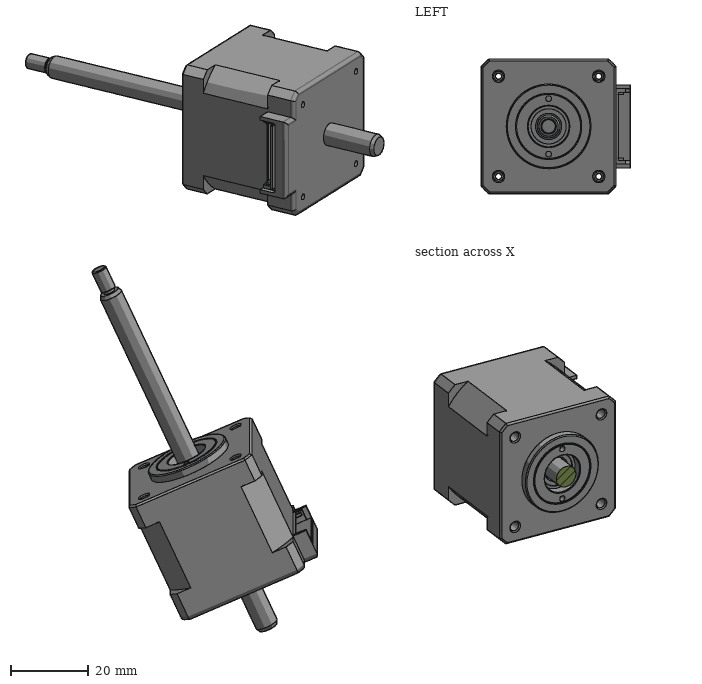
import cadquery as cq


BODY_SIDE = 35.0
FLANGE_LENGTH = 6.7
STATOR_LENGTH = 19.7
CAP_LENGTH = 8.0
END_CORNER_RADIUS = 23.38
STATOR_CORNER_RADIUS = 21.0
FLANGE_CHAMFER = 0.5
CAP_FILLET = 1.0
STATOR_START = FLANGE_LENGTH
CAP_START = STATOR_START + STATOR_LENGTH
BODY_END = CAP_START + CAP_LENGTH

HOLE_SPACING = 26.0
HOLE_RADIUS = 1.25
HOLE_MOUTH_RADIUS = 1.6
THROUGH_HOLE_RADIUS = 0.75

BOSS_RADIUS = 11.0
BOSS_HEIGHT = 2.1
BOSS_CHAMFER = 0.3
GROOVE_OUTER_RADIUS = 8.6
GROOVE_WIDTH = 0.3
GROOVE_DEPTH = 0.3
SPANNER_HOLE_RADIUS = 0.75
SPANNER_HOLE_OFFSET = 7.2
SPANNER_HOLE_DEPTH = 2.0

MOUTH_RADIUS = 5.3
MOUTH_CHAMFER = 0.2
MOUTH_DEPTH = 2.6
RECESS_RADIUS = 4.55
RECESS_DEPTH = 3.0
CLEARANCE_RADIUS = 3.4
CLEARANCE_DEPTH = 6.0

SHAFT_START = -57.5
SHAFT_LENGTH = 107.0
SHAFT_RADIUS = 3.0
SHAFT_CHAMFER_LENGTH = 1.0
SHAFT_CHAMFER_DEPTH = 0.5
TIP_RADIUS = 2.0
TIP_LENGTH = 6.0
TIP_CHAMFER = 0.25
NECK_RADIUS = 1.5
NECK_LENGTH = 0.8
SHAFT_END = SHAFT_START + SHAFT_LENGTH

HOUSING_WIDTH = 21.6
HOUSING_OVERHANG = 3.7
HOUSING_FACE = -BODY_SIDE / 2 - HOUSING_OVERHANG
POCKET_WIDTH = 19.6
POCKET_LENGTH = 4.5
POCKET_FILLET = 0.8
POCKET_BACK = 10.0

HEADER_INSET = 0.2
HEADER_LENGTH = 2.0
HEADER_WIDTH = 17.7
HEADER_BACK = -BODY_SIDE / 2 + 2.0
SILL_END = 0.6
SILL_FACE = -BODY_SIDE / 2 - 0.6
SHELF_FACE = -BODY_SIDE / 2 + 0.6
END_WALL_FACE = -BODY_SIDE / 2 - 2.4
TONGUE_START = 3.1
TONGUE_END = 3.8
KEY_WIDTH = 0.6
KEY_START = 0.6
KEY_END = 1.4
KEY_FACE = -BODY_SIDE / 2 - 1.9
PIN_COUNT = 11
PIN_PITCH = 1.5
PIN_WIDTH = 0.6
PIN_LENGTH = 0.8
PIN_FACE = SHELF_FACE - 0.4


def cylinder(x_start, length, radius, y=0.0, z=0.0):
    """Cylinder along +X."""
    return cq.Workplane("YZ", origin=(x_start, y, z)).circle(radius).extrude(length)


def cone(x_start, length, start_radius, end_radius, y=0.0, z=0.0):
    """Truncated cone along +X."""
    base = cq.Workplane("YZ", origin=(x_start, y, z)).circle(start_radius)
    return base.workplane(offset=length).circle(end_radius).loft()


def block(x_range, y_range, width, z=0.0):
    """Box between two X and two Y values, centred on z."""
    x_low, x_high = x_range
    y_low, y_high = y_range
    size = (x_high - x_low, y_high - y_low, width)
    return cq.Workplane("XY").box(*size).translate(((x_low + x_high) / 2, (y_low + y_high) / 2, z))


def turned_square(x_start, length, corner_radius):
    """Square prism whose corners are turned down to a cylinder."""
    square = cq.Workplane("YZ", origin=(x_start, 0, 0)).rect(BODY_SIDE, BODY_SIDE).extrude(length)
    return square.intersect(cylinder(x_start, length, corner_radius))


def make_body():
    flange = turned_square(0, FLANGE_LENGTH, END_CORNER_RADIUS)
    flange = flange.faces("<X").edges().chamfer(FLANGE_CHAMFER)
    stator = turned_square(STATOR_START, STATOR_LENGTH, STATOR_CORNER_RADIUS)
    cap = turned_square(CAP_START, CAP_LENGTH, END_CORNER_RADIUS)
    cap = cap.union(block((CAP_START, BODY_END), (HOUSING_FACE, 0), HOUSING_WIDTH))
    cap = cap.faces(">X").edges().fillet(CAP_FILLET)
    return flange.union(stator).union(cap)


def cut_mounting_holes(body):
    """Countersunk holes in the flange, narrowing where they run on through the body."""
    mouth_depth = HOLE_MOUTH_RADIUS - HOLE_RADIUS
    for y in (-HOLE_SPACING / 2, HOLE_SPACING / 2):
        for z in (-HOLE_SPACING / 2, HOLE_SPACING / 2):
            body = body.cut(cylinder(0, BODY_END, THROUGH_HOLE_RADIUS, y, z))
            body = body.cut(cylinder(0, FLANGE_LENGTH, HOLE_RADIUS, y, z))
            body = body.cut(cone(0, mouth_depth, HOLE_MOUTH_RADIUS, HOLE_RADIUS, y, z))
    return body


def add_boss(body):
    face = -BOSS_HEIGHT
    boss = cylinder(face, BOSS_HEIGHT, BOSS_RADIUS).faces("<X").edges().chamfer(BOSS_CHAMFER)
    body = body.union(boss)
    groove = cylinder(face, GROOVE_DEPTH, GROOVE_OUTER_RADIUS)
    groove = groove.cut(cylinder(face, GROOVE_DEPTH, GROOVE_OUTER_RADIUS - GROOVE_WIDTH))
    body = body.cut(groove)
    for z in (-SPANNER_HOLE_OFFSET, SPANNER_HOLE_OFFSET):
        body = body.cut(cylinder(face, SPANNER_HOLE_DEPTH, SPANNER_HOLE_RADIUS, z=z))
    body = body.cut(cone(face, MOUTH_CHAMFER, MOUTH_RADIUS + MOUTH_CHAMFER, MOUTH_RADIUS))
    body = body.cut(cylinder(face, MOUTH_DEPTH, MOUTH_RADIUS))
    body = body.cut(cylinder(face, RECESS_DEPTH, RECESS_RADIUS))
    return body.cut(cylinder(face, CLEARANCE_DEPTH, CLEARANCE_RADIUS))


def cut_connector_pocket(body):
    """Pocket open to -X and -Y, reaching past the shaft inside the cap."""
    pocket_end = CAP_START + POCKET_LENGTH
    opening = block((CAP_START, pocket_end), (HOUSING_FACE, HEADER_BACK), POCKET_WIDTH)
    cavity = block((CAP_START + HEADER_LENGTH, pocket_end), (HOUSING_FACE, POCKET_BACK), POCKET_WIDTH)
    pocket = opening.union(cavity).edges("|Y and >X").fillet(POCKET_FILLET)
    return body.cut(pocket)


def header_block(start, end, face, width, z=0.0):
    """Part of the header, placed from the front of the cap and rising to a face on -Y."""
    return block((CAP_START + start, CAP_START + end), (face, HEADER_BACK), width, z)


def add_header(body):
    """Pin header: shelf with a front sill, end walls with keys, a tongue and a row of pins."""
    body = body.union(header_block(0, HEADER_LENGTH, SHELF_FACE, POCKET_WIDTH))
    body = body.union(header_block(HEADER_INSET, SILL_END, SILL_FACE, HEADER_WIDTH))
    body = body.union(header_block(TONGUE_START, TONGUE_END, HOUSING_FACE, HEADER_WIDTH))
    end_wall_width = (POCKET_WIDTH - HEADER_WIDTH) / 2
    for side in (-1, 1):
        wall_z = side * (HEADER_WIDTH + end_wall_width) / 2
        body = body.union(header_block(HEADER_INSET, TONGUE_END, END_WALL_FACE, end_wall_width, wall_z))
        key_z = side * (HEADER_WIDTH - KEY_WIDTH) / 2
        body = body.union(header_block(KEY_START, KEY_END, KEY_FACE, KEY_WIDTH, key_z))
    for index in range(PIN_COUNT):
        pin_z = (index - (PIN_COUNT - 1) / 2) * PIN_PITCH
        pin = header_block(HEADER_LENGTH - PIN_LENGTH, HEADER_LENGTH, PIN_FACE, PIN_WIDTH, pin_z)
        body = body.union(pin)
    return body


def make_shaft():
    tip_end = SHAFT_START + TIP_LENGTH
    neck_end = tip_end + NECK_LENGTH
    chamfered_radius = SHAFT_RADIUS - SHAFT_CHAMFER_DEPTH
    profile = [
        (SHAFT_START, 0),
        (SHAFT_START, TIP_RADIUS - TIP_CHAMFER),
        (SHAFT_START + TIP_CHAMFER, TIP_RADIUS),
        (tip_end, TIP_RADIUS),
        (tip_end, NECK_RADIUS),
        (neck_end, NECK_RADIUS),
        (neck_end, chamfered_radius),
        (neck_end + SHAFT_CHAMFER_LENGTH, SHAFT_RADIUS),
        (SHAFT_END - SHAFT_CHAMFER_LENGTH, SHAFT_RADIUS),
        (SHAFT_END, chamfered_radius),
        (SHAFT_END, 0),
    ]
    return cq.Workplane("XY").polyline(profile).close().revolve(360, (0, 0, 0), (1, 0, 0))


motor = add_boss(cut_mounting_holes(make_body()))
motor = add_header(cut_connector_pocket(motor))
result = motor.union(make_shaft())